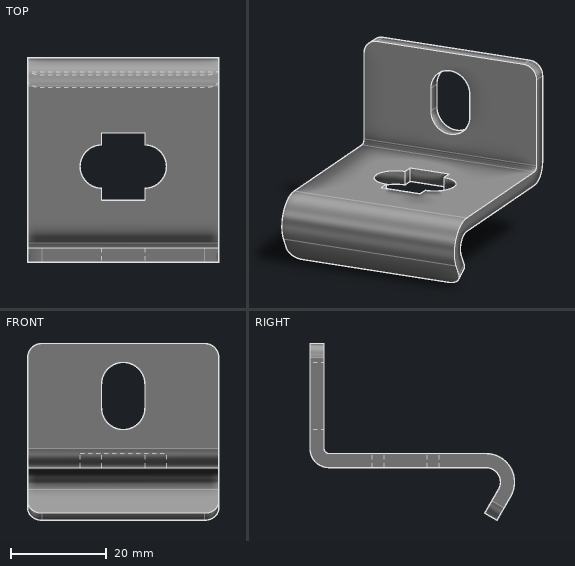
import cadquery as cq
import math

WIDTH = 40.0
THICKNESS = 3.0
HEIGHT = 26.0
DEPTH = 42.8
HOOK_DROP = 11.0

BEND_INNER_RADIUS = 1.0
BEND_OUTER_RADIUS = BEND_INNER_RADIUS + THICKNESS
HOOK_INNER_RADIUS = 3.0
HOOK_OUTER_RADIUS = HOOK_INNER_RADIUS + THICKNESS
HOOK_END_ANGLE = -30.0
CORNER_RADIUS = 3.0

SLOT_WIDTH = 9.0
SLOT_LENGTH = 14.0
SLOT_BELOW_TOP = 11.0

BASE_HOLE_Y = 20.0
BASE_SLOT_WIDTH = 9.0
BASE_SLOT_LENGTH = 18.0
BASE_WINDOW_X = 9.0
BASE_WINDOW_Y = 14.0

HOOK_CENTER_Y = DEPTH - HOOK_OUTER_RADIUS
HOOK_CENTER_Z = THICKNESS - HOOK_OUTER_RADIUS
BEND_DIAGONAL = math.sqrt(0.5)


def hook_point(radius, angle):
    """Point (Y, Z) on the hook curl at an angle in degrees from +Y."""
    turn = math.radians(angle)
    return (
        HOOK_CENTER_Y + radius * math.cos(turn),
        HOOK_CENTER_Z + radius * math.sin(turn),
    )


def bend_point(radius):
    """Middle (Y, Z) of the arc joining the upright to the base."""
    offset = BEND_OUTER_RADIUS - radius * BEND_DIAGONAL
    return (offset, offset)


def make_strip():
    """Bent strip of constant thickness, extruded across the width."""
    outer_end = hook_point(HOOK_OUTER_RADIUS, HOOK_END_ANGLE)
    inner_end = hook_point(HOOK_INNER_RADIUS, HOOK_END_ANGLE)
    middle_angle = (90.0 + HOOK_END_ANGLE) / 2

    lip_z = -HOOK_DROP - outer_end[1]
    lip_y = lip_z * math.tan(math.radians(-HOOK_END_ANGLE))

    return (
        cq.Workplane("YZ", origin=(-WIDTH / 2, 0, 0))
        .moveTo(0, HEIGHT)
        .lineTo(0, BEND_OUTER_RADIUS)
        .threePointArc(bend_point(BEND_OUTER_RADIUS), (BEND_OUTER_RADIUS, 0))
        .lineTo(HOOK_CENTER_Y, 0)
        .threePointArc(hook_point(HOOK_INNER_RADIUS, middle_angle), inner_end)
        .lineTo(inner_end[0] + lip_y, inner_end[1] + lip_z)
        .lineTo(outer_end[0] + lip_y, outer_end[1] + lip_z)
        .lineTo(*outer_end)
        .threePointArc(
            hook_point(HOOK_OUTER_RADIUS, middle_angle), (HOOK_CENTER_Y, THICKNESS)
        )
        .lineTo(BEND_OUTER_RADIUS, THICKNESS)
        .threePointArc(bend_point(BEND_INNER_RADIUS), (THICKNESS, BEND_OUTER_RADIUS))
        .lineTo(THICKNESS, HEIGHT)
        .close()
        .extrude(WIDTH)
    )


def round_corners(strip):
    """Round the free corners of the upright and of the lip."""
    rounded = strip.faces(">Z").edges("|Y").fillet(CORNER_RADIUS)
    lip_corners = rounded.faces("<Z").edges("not |X")
    return lip_corners.fillet(CORNER_RADIUS)


def upright_slot():
    """Vertical slot cutter through the upright."""
    return (
        cq.Workplane("XZ", origin=(0, 0, HEIGHT - SLOT_BELOW_TOP))
        .slot2D(SLOT_LENGTH, SLOT_WIDTH, 90)
        .extrude(-THICKNESS)
    )


def base_hole():
    """Cutter through the base: a slot along X crossed by a rectangular window."""
    plane = cq.Workplane("XY", origin=(0, BASE_HOLE_Y, 0))
    slot = plane.slot2D(BASE_SLOT_LENGTH, BASE_SLOT_WIDTH).extrude(THICKNESS)
    window = plane.rect(BASE_WINDOW_X, BASE_WINDOW_Y).extrude(THICKNESS)
    return slot.union(window)


result = round_corners(make_strip()).cut(upright_slot()).cut(base_hole())